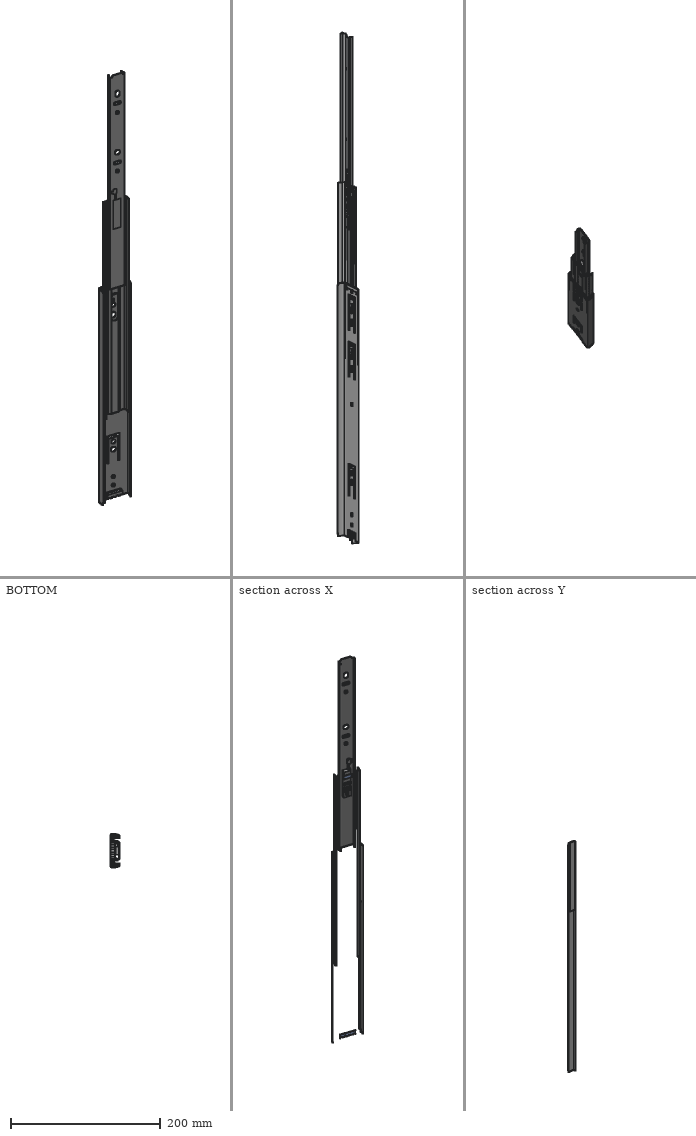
import cadquery as cq


TOTAL_LENGTH = 700.0
THICKNESS = 12.5
RAIL_LENGTH = 349.0
SHEET = 1.2
OVERRUN = 1.0

OUTER_WIDTH = 45.5
OUTER_BEND = 3.0
FLANGE_STRAIGHT = 3.5
FLANGE_CURL = 1.5
LIP = 1.5
LIP_TRIM_WIDTH = 2.0
LIP_TRIM_BOTTOM = 4.0
LIP_TRIM_TOP = 2.0
NOTCH_WIDTH = 22.5
NOTCH_HEIGHT = 10.5
LANCE_ENDS = ((336.0, 287.0), (271.0, 222.5), (102.0, 58.0))
LANCE_WIDTH = 19.0
TONGUE_WIDTH = 14.0
TONGUE_GAP = 4.0
KEY_WIDTH = 2.0
KEY_HEIGHT = 5.0
CORNER_CUT_Y = 13.0
CORNER_CUT_WIDTH = 6.0
CORNER_CUT_BOTTOM = RAIL_LENGTH - 8.0
CORNER_CUT_HEIGHT = 6.0

MIDDLE_WIDTH = 36.0
MIDDLE_X = 2.0
MIDDLE_TOP = 490.0
MIDDLE_BOTTOM = MIDDLE_TOP - RAIL_LENGTH
CHANNEL_FLOOR_WIDTH = 10.5
CHANNEL_MOUTH_WIDTH = 18.0
CHANNEL_DEPTH = 2.0
CHANNEL_SLOT_WIDTH = 10.0
CHANNEL_SLOT_ENDS = ((472.5, 428.5), (337.0, 292.0))
CROSS_SLOT_LENGTH = 24.0
CROSS_SLOT_HEIGHT = 7.0
CROSS_SLOT_Z = 478.0
WINDOW_HEIGHT = 3.5
WINDOW_Z = 484.0

INNER_WIDTH = 24.0
INNER_X = 4.55
SHOULDER_DROP = 3.0
SHOULDER_TAB_WIDTH = 17.0
TAB_CHAMFER = 2.0

GROOVE_RADIUS = 3.5
GROOVE_DEPTH = 1.5
MIDDLE_GROOVE_X = 3.15
INNER_GROOVE_X = 5.5
INNER_BEND = 2.0

SMALL_HOLE = 5.0
SCREW_HOLE = 6.0
LARGE_HOLE = 8.0
FLAT_SLOT_HEIGHT = 4.0
FLAT_SLOT_LENGTH = 10.5
INNER_SLOT_LENGTH = 10.0
OUTER_SLOT_LENGTH = 9.0

OUTER_SMALL_HOLES_Z = (342.0, 186.0, 33.5, 19.5)
OUTER_SCREW_HOLES_Z = (315.0, 252.0, 91.0)
OUTER_LARGE_HOLE_Z = 78.5
OUTER_SLOTS_Z = (299.0, 235.0)
KEYS_Z = (323.0, 260.5)
INNER_SLOT_Z = 668.0
INNER_LARGE_HOLE_Z = 572.0
FLAT_SLOTS_Z = (652.5, 555.0)
INNER_SMALL_HOLES_Z = (637.0, 541.0)

RETAINER_SHEET = 1.0
RETAINER_RISE = 1.5
RETAINER_LENGTH = 105.0
RETAINER_EDGE_X = 10.0
OUTER_RETAINER_Y = 19.0
INNER_RETAINER_Y = 12.5
OUTER_RETAINER_BRIDGE = 6.0
INNER_RETAINER_BRIDGE = 7.0

LEVER_WIDTH = 10.0
LEVER_X = 6.65
LEVER_TOP = 494.0
LEVER_BOTTOM = 447.0
LEVER_STEM_WIDTH = 11.0
LEVER_PLATE_X = 9.0
LEVER_RIB = 2.0
LEVER_RIBS_Z = (461.0, 470.0)
LEVER_HEAD_HEIGHT = 6.0
LEVER_FOOT_HEIGHT = 10.5
FOOT_POCKET_SIZE = 4.0
ARM_Y = -3.0
ARM_WIDTH = 2.0
KNOB_Y = -3.5
KNOB_Z = 508.0
KNOB_WIDTH = 5.5
KNOB_LENGTH = 9.0
SPUR_LENGTH = 5.0
SPUR_HEIGHT = 3.5

BUMPER_BOTTOM = 3.5
BUMPER_DEPTH = 6.0
TOOTH_GAP = 3.0
TOOTH_GAP_HEIGHT = 1.5
TOOTH_PITCH = 6.0
TOOTH_GAP_COUNT = 4
BUMPER_POCKET_WIDTH = 19.5
BUMPER_POCKET_HEIGHT = 2.0
BUMPER_POCKET_Z = 7.0


def block(x0, x1, y0, y1, z0, z1):
    """Box between two opposite corners."""
    return cq.Workplane("XY").box(x1 - x0, y1 - y0, z1 - z0, centered=False).translate((x0, y0, z0))


def centred_block(x0, x1, width, z0, z1):
    """Box that is symmetric in Y."""
    return block(x0, x1, -width / 2, width / 2, z0, z1)


def prism(points, z0, z1):
    """Closed outline of (x, y) points extruded along Z."""
    return cq.Workplane("XY").workplane(offset=z0).polyline(points).close().extrude(z1 - z0)


def both_sides(half_points):
    """Closes an outline given on the +Y side with its mirror image."""
    return half_points + [(x, -y) for x, y in reversed(half_points)]


def web_face(x):
    """Sketch plane parallel to the web, with local axes Y and Z."""
    return cq.Workplane("YZ").workplane(offset=x)


def round_cutter(web_x, z, diameter):
    """Cylinder through a web."""
    cutter = web_face(web_x - OVERRUN).center(0, z).circle(diameter / 2)
    return cutter.extrude(SHEET + 2 * OVERRUN)


def slot_cutter(web_x, z, length, width, angle):
    """Round-ended slot through a web; angle 0 runs along Y and 90 along Z."""
    cutter = web_face(web_x - OVERRUN).center(0, z).slot2D(length, width, angle)
    return cutter.extrude(SHEET + 2 * OVERRUN)


def grooved_flanges(width, x0, x1, groove_x, z0, z1):
    """Two flanges along Z, each pressed inward into a ball groove of constant sheet thickness."""
    centre_y = width / 2 + GROOVE_RADIUS - GROOVE_DEPTH
    flanges = cq.Workplane("XY")
    for side in (1, -1):
        edge = side * width / 2
        inside = edge - side * (GROOVE_DEPTH + SHEET)
        wall = block(x0, x1, *sorted((edge, edge - side * SHEET)), z0, z1)
        envelope = block(x0, x1, *sorted((edge, inside)), z0, z1)
        axis = cq.Workplane("XY").workplane(offset=z0).center(groove_x, side * centre_y)
        bead = axis.circle(GROOVE_RADIUS + SHEET).extrude(z1 - z0).intersect(envelope)
        groove = axis.circle(GROOVE_RADIUS).extrude(z1 - z0)
        flanges = flanges.add(wall.union(bead).cut(groove))
    return flanges.combine()


def lance(top, bottom):
    """U-shaped cut that frees a tongue joined to the web at its lower end."""
    frame = centred_block(-OVERRUN, SHEET + OVERRUN, LANCE_WIDTH, bottom, top)
    tongue = centred_block(-OVERRUN, SHEET + OVERRUN, TONGUE_WIDTH, bottom, top - TONGUE_GAP)
    return frame.cut(tongue)


def curled_section(half_width, x0=0.0):
    """Bar along Z whose sides run straight from x0 and then curve inward towards the open side."""
    lip_x = THICKNESS - LIP
    run = lip_x - FLANGE_STRAIGHT
    curl_y = half_width - FLANGE_CURL
    tip_y = curl_y - LIP
    curl_radius = (run**2 + FLANGE_CURL**2) / (2 * FLANGE_CURL)
    sketch = cq.Workplane("XY").moveTo(x0, -half_width).lineTo(FLANGE_STRAIGHT, -half_width)
    sketch = sketch.radiusArc((lip_x, -curl_y), -curl_radius).lineTo(THICKNESS, -tip_y)
    sketch = sketch.lineTo(THICKNESS, tip_y).lineTo(lip_x, curl_y).radiusArc((FLANGE_STRAIGHT, half_width), -curl_radius)
    return sketch.lineTo(x0, half_width).close().extrude(RAIL_LENGTH)


def make_outer_rail():
    half = OUTER_WIDTH / 2
    channel = centred_block(0, THICKNESS, OUTER_WIDTH, 0, RAIL_LENGTH)
    channel = channel.edges("|Z and <X").fillet(OUTER_BEND)
    rail = channel.intersect(curled_section(half)).cut(curled_section(half - SHEET, SHEET))

    trim_x = THICKNESS - LIP_TRIM_WIDTH
    rail = rail.cut(centred_block(trim_x, THICKNESS, OUTER_WIDTH, 0, LIP_TRIM_BOTTOM))
    rail = rail.cut(centred_block(trim_x, THICKNESS, OUTER_WIDTH, RAIL_LENGTH - LIP_TRIM_TOP, RAIL_LENGTH))

    rail = rail.cut(centred_block(0, SHEET, NOTCH_WIDTH, 0, NOTCH_HEIGHT))

    for top, bottom in LANCE_ENDS:
        rail = rail.cut(lance(top, bottom))

    for z in OUTER_SMALL_HOLES_Z:
        rail = rail.cut(round_cutter(0, z, SMALL_HOLE))
    for z in OUTER_SCREW_HOLES_Z:
        rail = rail.cut(round_cutter(0, z, SCREW_HOLE))
    rail = rail.cut(round_cutter(0, OUTER_LARGE_HOLE_Z, LARGE_HOLE))
    for z in OUTER_SLOTS_Z:
        rail = rail.cut(slot_cutter(0, z, OUTER_SLOT_LENGTH, SCREW_HOLE, 90))
    for z in KEYS_Z:
        rail = rail.cut(centred_block(0, SHEET, KEY_WIDTH, z - KEY_HEIGHT / 2, z + KEY_HEIGHT / 2))

    for side in (1, -1):
        inner_y = side * CORNER_CUT_Y
        outer_y = side * (CORNER_CUT_Y + CORNER_CUT_WIDTH)
        corner = [
            (inner_y, CORNER_CUT_BOTTOM),
            (outer_y, CORNER_CUT_BOTTOM),
            (outer_y, CORNER_CUT_BOTTOM + CORNER_CUT_HEIGHT),
        ]
        rail = rail.cut(web_face(0).polyline(corner).close().extrude(SHEET))
    return rail


def channel_surface(x, half_width):
    """Points of a web surface, with the sunk channel in its middle, from +Y to -Y."""
    half = [
        (x, half_width),
        (x, CHANNEL_MOUTH_WIDTH / 2),
        (x + CHANNEL_DEPTH, CHANNEL_FLOOR_WIDTH / 2),
    ]
    return both_sides(half)


def channelled_web(x, thickness, half_width, z0, z1):
    """Web whose thickness, measured along X, is constant across the channel."""
    near = channel_surface(x, half_width)
    far = channel_surface(x + thickness, half_width)
    return prism(near + far[::-1], z0, z1)


def make_middle_rail():
    web_half = MIDDLE_WIDTH / 2 - GROOVE_DEPTH
    rail = grooved_flanges(MIDDLE_WIDTH, MIDDLE_X, THICKNESS, MIDDLE_GROOVE_X, MIDDLE_BOTTOM, MIDDLE_TOP)
    rail = rail.union(channelled_web(MIDDLE_X, SHEET, web_half, MIDDLE_BOTTOM, MIDDLE_TOP))

    floor_x = MIDDLE_X + CHANNEL_DEPTH
    for top, bottom in CHANNEL_SLOT_ENDS:
        length = top - bottom
        rail = rail.cut(slot_cutter(floor_x, (top + bottom) / 2, length, CHANNEL_SLOT_WIDTH, 90))
    cross_slot = web_face(MIDDLE_X).center(0, CROSS_SLOT_Z).slot2D(CROSS_SLOT_LENGTH, CROSS_SLOT_HEIGHT, 0)
    rail = rail.cut(cross_slot.extrude(CHANNEL_DEPTH + SHEET))
    window_top = WINDOW_Z + WINDOW_HEIGHT
    return rail.cut(centred_block(floor_x, floor_x + SHEET, CHANNEL_SLOT_WIDTH, WINDOW_Z, window_top))


def make_inner_rail():
    bottom = TOTAL_LENGTH - RAIL_LENGTH
    web_x = THICKNESS - SHEET
    shoulder = TOTAL_LENGTH - SHOULDER_DROP
    rail = grooved_flanges(INNER_WIDTH, INNER_X, THICKNESS, INNER_GROOVE_X, bottom, shoulder)
    rail = rail.union(centred_block(web_x, THICKNESS, INNER_WIDTH, bottom, shoulder))
    bar = centred_block(INNER_X, THICKNESS, INNER_WIDTH, bottom, shoulder)
    rail = rail.intersect(bar.edges("|Z and >X").fillet(INNER_BEND))
    tab = centred_block(web_x, THICKNESS, SHOULDER_TAB_WIDTH, bottom, TOTAL_LENGTH)
    rail = rail.union(tab.edges("|X and >Z").chamfer(TAB_CHAMFER))

    rail = rail.cut(slot_cutter(web_x, INNER_SLOT_Z, INNER_SLOT_LENGTH, SCREW_HOLE, 90))
    rail = rail.cut(round_cutter(web_x, INNER_LARGE_HOLE_Z, LARGE_HOLE))
    for z in FLAT_SLOTS_Z:
        rail = rail.cut(slot_cutter(web_x, z, FLAT_SLOT_LENGTH, FLAT_SLOT_HEIGHT, 0))
    for z in INNER_SMALL_HOLES_Z:
        rail = rail.cut(round_cutter(web_x, z, SMALL_HOLE))
    return rail


def retainer_sides(inside_y, x0, top):
    """Two strips that stand between the flanges of neighbouring rails."""
    bottom = top - RETAINER_LENGTH
    strip = block(x0, RETAINER_EDGE_X, inside_y, inside_y + RETAINER_SHEET, bottom, top)
    return strip.union(strip.mirror("XZ"))


def make_outer_retainer():
    top = RAIL_LENGTH + RETAINER_RISE
    web_x = SHEET
    sides = retainer_sides(OUTER_RETAINER_Y, web_x, top)
    bridge_bottom = top - OUTER_RETAINER_BRIDGE
    bridge = centred_block(web_x, web_x + RETAINER_SHEET, 2 * OUTER_RETAINER_Y, bridge_bottom, top)
    return sides.union(bridge)


def make_inner_retainer():
    top = MIDDLE_TOP - RETAINER_RISE
    web_x = MIDDLE_X + SHEET
    sides = retainer_sides(INNER_RETAINER_Y, web_x, top)
    bridge = channelled_web(web_x, RETAINER_SHEET, INNER_RETAINER_Y, top - INNER_RETAINER_BRIDGE, top)
    return sides.union(bridge)


def make_lever():
    back = THICKNESS - SHEET
    lever = centred_block(LEVER_PLATE_X, back, LEVER_STEM_WIDTH, LEVER_BOTTOM, LEVER_TOP)
    lever = lever.union(centred_block(LEVER_X, back, LEVER_WIDTH, LEVER_TOP - LEVER_HEAD_HEIGHT, LEVER_TOP))
    foot_top = LEVER_BOTTOM + LEVER_FOOT_HEIGHT
    lever = lever.union(centred_block(LEVER_X, back, LEVER_STEM_WIDTH, LEVER_BOTTOM, foot_top))
    pocket_bottom = LEVER_BOTTOM + (LEVER_FOOT_HEIGHT - FOOT_POCKET_SIZE) / 2
    pocket_top = pocket_bottom + FOOT_POCKET_SIZE
    lever = lever.cut(centred_block(LEVER_X, LEVER_PLATE_X, FOOT_POCKET_SIZE, pocket_bottom, pocket_top))
    for z in LEVER_RIBS_Z:
        lever = lever.union(centred_block(LEVER_X, back, LEVER_STEM_WIDTH, z, z + LEVER_RIB))
    arm_left = ARM_Y - ARM_WIDTH / 2
    lever = lever.union(block(LEVER_PLATE_X, back, arm_left, arm_left + ARM_WIDTH, LEVER_TOP, KNOB_Z))
    spur_bottom = KNOB_Z - SPUR_HEIGHT / 2
    spur = block(LEVER_PLATE_X, back, KNOB_Y - SPUR_LENGTH, KNOB_Y, spur_bottom, spur_bottom + SPUR_HEIGHT)
    lever = lever.union(spur)
    knob = web_face(LEVER_PLATE_X).center(KNOB_Y, KNOB_Z).slot2D(KNOB_LENGTH, KNOB_WIDTH, 90)
    return lever.union(knob.extrude(back - LEVER_PLATE_X))


def make_bumper():
    bumper = centred_block(0, BUMPER_DEPTH, NOTCH_WIDTH, BUMPER_BOTTOM, NOTCH_HEIGHT)
    for index in range(TOOTH_GAP_COUNT):
        y = (index - (TOOTH_GAP_COUNT - 1) / 2) * TOOTH_PITCH
        gap_top = BUMPER_BOTTOM + TOOTH_GAP_HEIGHT
        gap = block(0, BUMPER_DEPTH, y - TOOTH_GAP / 2, y + TOOTH_GAP / 2, BUMPER_BOTTOM, gap_top)
        bumper = bumper.cut(gap)
    pocket_top = BUMPER_POCKET_Z + BUMPER_POCKET_HEIGHT
    pocket = centred_block(0, SHEET, BUMPER_POCKET_WIDTH, BUMPER_POCKET_Z, pocket_top)
    return bumper.cut(pocket)


outer_rail = make_outer_rail()
middle_rail = make_middle_rail()
inner_rail = make_inner_rail()
outer_retainer = make_outer_retainer()
inner_retainer = make_inner_retainer()
lever = make_lever()
bumper = make_bumper()

result = cq.Compound.makeCompound(
    [
        outer_rail.solids().val(),
        middle_rail.solids().val(),
        inner_rail.solids().val(),
        outer_retainer.solids().val(),
        inner_retainer.solids().val(),
        lever.solids().val(),
        bumper.solids().val(),
    ]
)